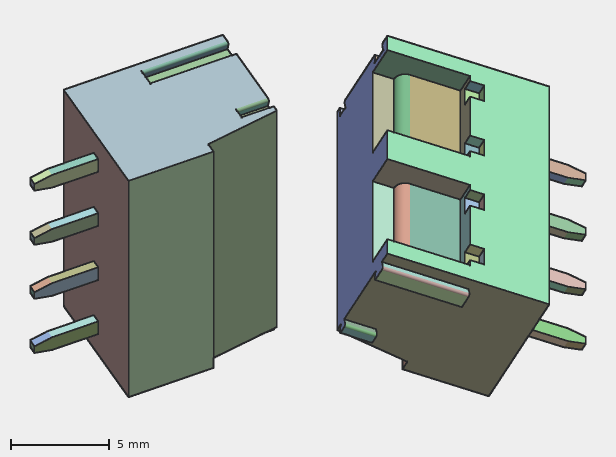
import cadquery as cq
import math


pole_count = 4
housing_width = 7.4
housing_depth = 9.0
housing_height = 15.24
pole_pitch = housing_height / pole_count

flank_length = 4.2
flank_inset_back = 1.25
flank_inset_front = 0.6

pin_length = 3.6
pin_thickness = 0.5
pin_height = 0.9
tip_length = 1.0
tip_height = 0.47

window_height = 5.6
window_length = 4.6
window_depth = 1.18
step_radius = 0.62
step_offset = 1.18
notch_length = 0.79
notch_height = 1.09
notch_depth = 0.63

dovetail_height = 0.55
dovetail_angle = math.radians(16)
dovetail_rounding = 0.13
groove_depth = dovetail_height
dovetail_clearance = 0.05
large_dovetail = {"centre": 1.06, "neck": 0.82, "length": 4.86}
small_dovetail = {"centre": 5.5, "neck": 0.47, "length": 1.82}


def make_housing():
    back_x = housing_width - flank_inset_back
    step_x = housing_width - flank_inset_front
    step_y = housing_depth - flank_length
    outline = [
        (0, 0),
        (housing_width, 0),
        (housing_width, step_y),
        (step_x, step_y),
        (back_x, housing_depth),
        (0, housing_depth),
    ]
    return cq.Workplane("XY").polyline(outline).close().extrude(housing_height)


def make_pin(z):
    """Pin centred at height z, tapered in height toward its tip."""
    profile = [
        (0, z - pin_height / 2),
        (0, z + pin_height / 2),
        (tip_length - pin_length, z + pin_height / 2),
        (-pin_length, z + tip_height / 2),
        (-pin_length, z - tip_height / 2),
        (tip_length - pin_length, z - pin_height / 2),
    ]
    return (
        cq.Workplane("YZ", origin=((housing_width - pin_thickness) / 2, 0, 0))
        .polyline(profile)
        .close()
        .extrude(pin_thickness)
    )


def make_window(z):
    """Window centred at height z, deeper behind a rounded step near the back face."""
    step_y = housing_depth - step_offset
    arc_reach = step_radius * math.sqrt(0.5)
    arc_centre = (window_depth + step_radius, step_y - step_radius)
    return (
        cq.Workplane("XY", origin=(0, 0, z - window_height / 2))
        .moveTo(0, housing_depth)
        .lineTo(window_depth + step_radius, housing_depth)
        .lineTo(window_depth + step_radius, step_y)
        .threePointArc(
            (arc_centre[0] - arc_reach, arc_centre[1] + arc_reach),
            (window_depth, step_y - step_radius),
        )
        .lineTo(window_depth, housing_depth - window_length)
        .lineTo(0, housing_depth - window_length)
        .close()
        .extrude(window_height)
    )


def make_notch(z):
    """Shallow notch at height z, extending a window toward the pin side."""
    front_y = housing_depth - window_length - notch_length
    return (
        cq.Workplane("XY", origin=(0, front_y, z))
        .box(notch_depth, notch_length, notch_height, centered=(False, False, True))
    )


def make_rail(dovetail):
    """Rail under the bottom face, widening downward, a little smaller than its groove."""
    half_neck = (dovetail["neck"] - dovetail_clearance) / 2
    half_foot = half_neck + dovetail_height * math.tan(dovetail_angle)
    profile = [
        (-half_neck, 0),
        (half_neck, 0),
        (half_foot, -dovetail_height),
        (-half_foot, -dovetail_height),
    ]
    return (
        cq.Workplane("XZ", origin=(dovetail["centre"], housing_depth, 0))
        .polyline(profile)
        .close()
        .extrude(dovetail["length"] - dovetail_clearance)
        .edges("|Y and <Z")
        .fillet(dovetail_rounding)
    )


def make_groove(dovetail):
    """Undercut groove in the top face, its mouth flared by rounded lips."""
    radius = dovetail_rounding
    half_neck = dovetail["neck"] / 2
    half_mouth = half_neck + radius
    lip_x = half_mouth - radius * math.cos(dovetail_angle)
    lip_z = -radius * (1 + math.sin(dovetail_angle))
    half_floor = lip_x + (groove_depth + lip_z) * math.tan(dovetail_angle)
    return (
        cq.Workplane("XZ", origin=(dovetail["centre"], housing_depth, housing_height))
        .moveTo(-half_mouth, 0)
        .lineTo(half_mouth, 0)
        .threePointArc((half_neck, -radius), (lip_x, lip_z))
        .lineTo(half_floor, -groove_depth)
        .lineTo(-half_floor, -groove_depth)
        .lineTo(-lip_x, lip_z)
        .threePointArc((-half_neck, -radius), (-half_mouth, 0))
        .close()
        .extrude(dovetail["length"])
    )


result = make_housing()

for pole in range(pole_count):
    pole_z = (pole + 0.5) * pole_pitch
    result = result.union(make_pin(pole_z)).cut(make_notch(pole_z))

for pair in range(pole_count // 2):
    result = result.cut(make_window((2 * pair + 1) * pole_pitch))

for dovetail in (large_dovetail, small_dovetail):
    result = result.cut(make_groove(dovetail)).union(make_rail(dovetail))